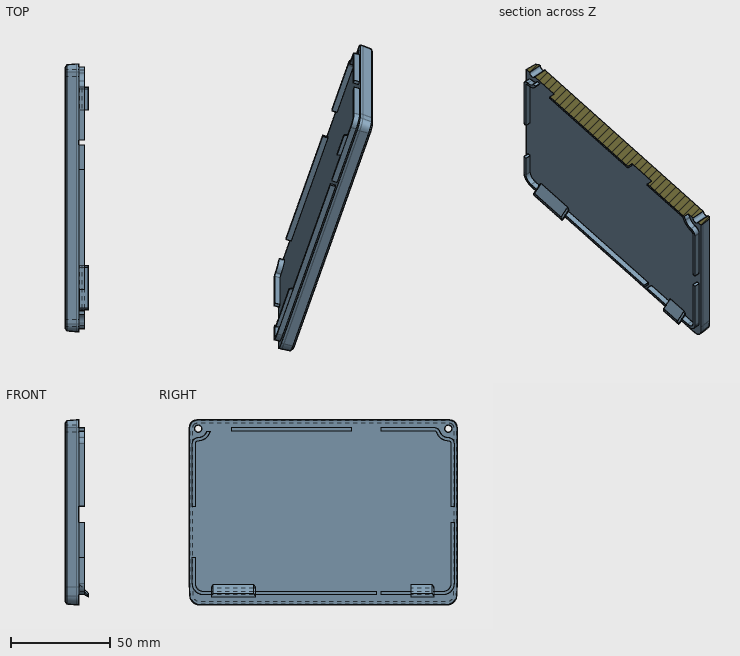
import cadquery as cq
import math

width = 134.8
height = 93.18
plate_depth = 7.0
rim_depth = 1.3
chamfer_depth = 1.0
chamfer_inset = 1.25
draft_inset = 0.4
top_corner_radius = 4.0
bottom_corner_radius = 5.0
bottom_corner_break = 4.5
side_arc_height = 4.5

hole_diameter = 3.5
hole_inset = 4.5

lip_height = 2.8
lip_thickness = 1.6
lip_side_inset = 1.5
lip_top_inset = 4.0
lip_bottom_inset = 5.2
lip_bottom_radius = 5.6
hole_clearance = 4.5
lip_round = 3.0

side_gap_top = 3.0
plus_y_gap_bottom = -5.0
minus_y_gap_bottom = -22.8
cross_gap_y = (26.7, 29.1)
upper_gap_y = (14.2, 29.1)
corner_gap_end = -46.1

tab_reach = 11.8
tab_plate_gap = 0.4
tab_tip_top = 5.85
tab_tip_bottom = 4.05
tab_edge_chamfer = 0.9
long_tab_y = (-56.3, -34.1)
short_tab_y = (44.1, 55.7)

half_width = width / 2
plate_top = height / 2
plate_bottom = -height / 2
hole_y = half_width - hole_inset
hole_z = plate_top - hole_inset
lip_back = plate_depth + lip_height
lip_top = plate_top - lip_top_inset
lip_bottom = plate_bottom + lip_bottom_inset
lip_half_width = half_width - lip_side_inset


def arc_point(center, radius, angle):
    """Point on a circle in the YZ plane, angle in radians from +Y toward +Z."""
    return (center[0] + radius * math.cos(angle), center[1] + radius * math.sin(angle))


def mirrored(point):
    return (-point[0], point[1])


def close_symmetric(half_path):
    """Close an outline from its +Y half, given top to bottom as (end point, arc mid point or None)."""
    start = half_path[0][0]
    sketch = cq.Workplane("YZ").moveTo(*start)
    for end, middle in half_path[1:]:
        if middle:
            sketch = sketch.threePointArc(middle, end)
        else:
            sketch = sketch.lineTo(*end)
    sketch = sketch.lineTo(*mirrored(half_path[-1][0]))
    for index in range(len(half_path) - 1, 0, -1):
        end = mirrored(half_path[index - 1][0])
        middle = half_path[index][1]
        if middle:
            sketch = sketch.threePointArc(mirrored(middle), end)
        else:
            sketch = sketch.lineTo(*end)
    return sketch.close()


def plate_outline():
    """Rounded rectangle whose lower corners start with a gentle arc tangent to the side."""
    top_center = (half_width - top_corner_radius, plate_top - top_corner_radius)
    lean = math.asin(1 - bottom_corner_break / bottom_corner_radius)
    side_radius = side_arc_height / math.sin(lean)
    side_center = (half_width - side_radius, plate_bottom + bottom_corner_break + side_arc_height)
    break_point = arc_point(side_center, side_radius, -lean)
    corner_center = arc_point(break_point, bottom_corner_radius, math.pi - lean)
    half_path = [
        (arc_point(top_center, top_corner_radius, math.pi / 2), None),
        (
            arc_point(top_center, top_corner_radius, 0),
            arc_point(top_center, top_corner_radius, math.pi / 4),
        ),
        (arc_point(side_center, side_radius, 0), None),
        (break_point, arc_point(side_center, side_radius, -lean / 2)),
        (
            arc_point(corner_center, bottom_corner_radius, -math.pi / 2),
            arc_point(corner_center, bottom_corner_radius, -(lean + math.pi / 2) / 2),
        ),
    ]
    return close_symmetric(half_path)


def make_plate():
    rim = plate_outline().extrude(rim_depth).translate((plate_depth - rim_depth, 0, 0))
    drafted_depth = plate_depth - rim_depth
    draft_angle = math.degrees(math.atan(draft_inset / (drafted_depth - chamfer_depth)))
    body = plate_outline().extrude(-drafted_depth, taper=draft_angle).translate((drafted_depth, 0, 0))
    body = body.faces("<X").chamfer(chamfer_depth, chamfer_inset)
    return rim.union(body)


shoulder_z = lip_top - lip_round
shoulder_angle = math.asin((shoulder_z - hole_z) / (hole_clearance + lip_round))
shoulder_end = arc_point((hole_y, hole_z), hole_clearance, math.pi - shoulder_angle)


def lip_outline():
    """Rectangle with rounded lower corners that swings around the screw holes at the top."""
    hole = (hole_y, hole_z)
    shoulder = arc_point(hole, hole_clearance + lip_round, math.pi - shoulder_angle)
    elbow = (lip_half_width - lip_round, hole_z - hole_clearance - lip_round)
    low = (lip_half_width - lip_bottom_radius, lip_bottom + lip_bottom_radius)
    half_path = [
        (arc_point(shoulder, lip_round, math.pi / 2), None),
        (shoulder_end, arc_point(shoulder, lip_round, (math.pi / 2 - shoulder_angle) / 2)),
        (
            arc_point(hole, hole_clearance, -math.pi / 2),
            arc_point(hole, hole_clearance, math.pi * 5 / 4 - shoulder_angle / 2),
        ),
        (arc_point(elbow, lip_round, 0), arc_point(elbow, lip_round, math.pi / 4)),
        (arc_point(low, lip_bottom_radius, 0), None),
        (
            arc_point(low, lip_bottom_radius, -math.pi / 2),
            arc_point(low, lip_bottom_radius, -math.pi / 4),
        ),
    ]
    return close_symmetric(half_path)


def lip_gap(y_range, z_range):
    """Block as deep as the lip, used to interrupt it."""
    size_y = y_range[1] - y_range[0]
    size_z = z_range[1] - z_range[0]
    block = cq.Workplane("XY").box(lip_height, size_y, size_z, centered=False)
    return block.translate((plate_depth, y_range[0], z_range[0]))


def make_lip():
    solid = lip_outline().extrude(lip_height)
    core = lip_outline().offset2D(-lip_thickness).extrude(lip_height)
    lip = solid.cut(core).translate((plate_depth, 0, 0))
    gaps = [
        ((0, half_width), (plus_y_gap_bottom, side_gap_top)),
        ((-half_width, 0), (minus_y_gap_bottom, side_gap_top)),
        (cross_gap_y, (plate_bottom, 0)),
        (upper_gap_y, (0, plate_top)),
        ((-shoulder_end[0], corner_gap_end), (shoulder_end[1], plate_top)),
    ]
    for y_range, z_range in gaps:
        lip = lip.cut(lip_gap(y_range, z_range))
    return lip


def make_tab(y_range, chamfered_ends):
    """Clip tab sloping down at 45 degrees from just off the plate, through the lip, to its tip."""
    start_x = plate_depth + tab_plate_gap
    rise = tab_reach - start_x
    profile = [
        (start_x, plate_bottom + tab_tip_top + rise),
        (tab_reach, plate_bottom + tab_tip_top),
        (tab_reach, plate_bottom + tab_tip_bottom),
        (lip_back, lip_bottom),
        (start_x, plate_bottom + tab_tip_bottom + rise),
    ]
    length = y_range[1] - y_range[0]
    tab = cq.Workplane("XZ").polyline(profile).close().extrude(-length).translate((0, y_range[0], 0))
    upper_face = cq.selectors.DirectionMinMaxSelector(cq.Vector(1, 0, 1), True)
    for end in chamfered_ends:
        top_face = tab.faces(upper_face)
        tab = top_face.edges(end).chamfer(tab_edge_chamfer)
    return tab


def make_holes():
    holes = cq.Workplane("YZ").pushPoints([(-hole_y, hole_z), (hole_y, hole_z)])
    return holes.circle(hole_diameter / 2).extrude(plate_depth)


result = make_plate().cut(make_holes()).union(make_lip())
result = result.union(make_tab(long_tab_y, ["<Y", ">Y"]))
result = result.union(make_tab(short_tab_y, [">Y"]))